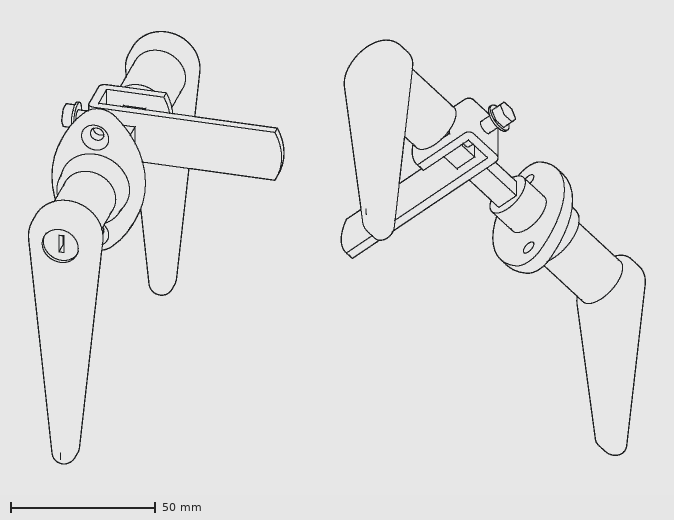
import cadquery as cq
import math


grip_thickness = 11.7
grip_hub_radius = 12.75
grip_tip_radius = 4.3
grip_bottom = 88.85
grip_outer_fillet = 5.2
grip_inner_fillet = 2.5
grip_tip_centre = grip_bottom - grip_tip_radius
neck_diameter = 19.1

front_grip_back = -39.1
rear_neck_start = 49.9
rear_grip_front = 75.17

lock_diameter = 13.0
lock_recess_depth = 1.5
key_slot_width = 1.8
key_slot_height = 6.6
key_slot_depth = 5.0

plate_half_width = 16.35
plate_half_height = 27.0
plate_thickness = 6.3
plate_fillet = 3.0
plate_hole_spacing = 38.0
plate_hole_diameter = 4.8
countersink_diameter = 9.8
countersink_angle = 90
collar_length = 7.5
collar_base_diameter = 24.8
collar_end_diameter = 23.8
collar_fillet = 1.2
sleeve_length = 11.2
sleeve_diameter = 16.2
spindle_width = 8.0

cam_front = 30.35
cam_back = 47.0
cam_thickness = 3.2
cam_height = 19.1
cam_left = -13.2
cam_short_end = 13.0
cam_long_end = 56.82
cam_bend_radius = 2.2
cam_end_radius = 20.0

screw_y = (cam_front + cam_back) / 2
screw_left = -23.65
screw_diameter = 5.0
screw_head_length = 3.8
screw_head_flats = 7.2
screw_head_edge_fillet = 0.8
screw_flange_diameter = 10.2
screw_flange_thickness = 0.85


def cylinder_y(diameter, start, end):
    """Round bar on the spindle axis between two Y places."""
    return cq.Workplane("XZ", origin=(0, start, 0)).circle(diameter / 2).extrude(start - end)


def square_bar_y(start, end):
    """Square spindle bar between two Y places."""
    return cq.Workplane("XZ", origin=(0, start, 0)).rect(spindle_width, spindle_width).extrude(start - end)


def make_grip_tip(inner_y, direction, sweep_angle):
    """Rounded end of half a lever: its side profile turned about the Y line through the tip centre."""
    outer_arc_centre = grip_tip_radius - grip_outer_fillet
    apex_angle = math.acos(-outer_arc_centre / grip_outer_fillet)
    outer_mid_x = outer_arc_centre + grip_outer_fillet * math.cos(apex_angle / 2)
    outer_base = grip_thickness - grip_outer_fillet
    outer_mid_y = outer_base + grip_outer_fillet * math.sin(apex_angle / 2)
    apex_y = outer_base + grip_outer_fillet * math.sin(apex_angle)
    inner_arc_centre = grip_tip_radius - grip_inner_fillet
    inner_mid_x = inner_arc_centre + grip_inner_fillet * math.sqrt(0.5)
    inner_mid_y = grip_inner_fillet * (1 - math.sqrt(0.5))
    tip = (
        cq.Workplane("XY")
        .lineTo(inner_arc_centre, 0)
        .threePointArc((inner_mid_x, inner_mid_y), (grip_tip_radius, grip_inner_fillet))
        .lineTo(grip_tip_radius, outer_base)
        .threePointArc((outer_mid_x, outer_mid_y), (0, apex_y))
        .close()
        .revolve(sweep_angle, (0, 0), (0, 1))
        .rotate((0, 0, 0), (0, 1, 0), 90 - sweep_angle)
    )
    if direction < 0:
        tip = tip.mirror("XZ")
    return tip.translate((0, inner_y, -grip_tip_centre))


def make_grip(inner_y, direction):
    """Tapered lever, from its inner face towards direction (+1 or -1) along Y."""
    taper = math.asin((grip_hub_radius - grip_tip_radius) / grip_tip_centre)
    hub_x = grip_hub_radius * math.cos(taper)
    hub_z = -grip_hub_radius * math.sin(taper)
    hub_mid_angle = (math.pi / 2 - taper) / 2
    hub_mid = (grip_hub_radius * math.cos(hub_mid_angle), grip_hub_radius * math.sin(hub_mid_angle))
    tip_x = grip_tip_radius * math.cos(taper)
    tip_z = -grip_tip_centre - grip_tip_radius * math.sin(taper)
    blank_left = -2 * grip_hub_radius
    blank_left_z = -grip_tip_centre - blank_left * math.tan(taper)
    blank = (
        cq.Workplane("XZ", origin=(0, inner_y, 0))
        .moveTo(blank_left, grip_hub_radius)
        .lineTo(0, grip_hub_radius)
        .threePointArc(hub_mid, (hub_x, hub_z))
        .lineTo(tip_x, tip_z)
        .lineTo(blank_left, blank_left_z)
        .close()
        .extrude(-direction * grip_thickness)
    )
    outer_face, inner_face = (">Y", "<Y") if direction > 0 else ("<Y", ">Y")
    side_edges = cq.selectors.BoxSelector(
        (-1.5 * grip_hub_radius, inner_y - 2 * grip_thickness, -grip_tip_centre * 2 / 3),
        (2 * grip_hub_radius, inner_y + 2 * grip_thickness, 2 * grip_hub_radius),
    )
    blank = blank.faces(outer_face).edges(side_edges).fillet(grip_outer_fillet)
    blank = blank.faces(inner_face).edges(side_edges).fillet(grip_inner_fillet)
    trim = (
        cq.Workplane("XY", origin=(0, inner_y, 0))
        .box(2 * grip_hub_radius, 4 * grip_thickness, 3 * grip_bottom, centered=(False, True, True))
    )
    half = blank.intersect(trim).union(make_grip_tip(inner_y, direction, 90 - math.degrees(taper)))
    return half.union(half.mirror("YZ"))


def make_escutcheon():
    """Pointed oval plate with a tapered collar in front and a sleeve behind."""
    end_centre = plate_hole_spacing / 2
    end_radius = plate_half_height - end_centre
    width_excess = plate_half_width - end_radius
    side_radius = (plate_half_width**2 + end_centre**2 - end_radius**2) / (2 * width_excess)
    side_centre = side_radius - plate_half_width
    centre_distance = math.hypot(side_centre, end_centre)
    join_x = end_radius * side_centre / centre_distance
    join_z = end_centre * (1 + end_radius / centre_distance)
    plate = (
        cq.Workplane("XZ")
        .moveTo(-join_x, join_z)
        .threePointArc((0, plate_half_height), (join_x, join_z))
        .threePointArc((plate_half_width, 0), (join_x, -join_z))
        .threePointArc((0, -plate_half_height), (-join_x, -join_z))
        .threePointArc((-plate_half_width, 0), (-join_x, join_z))
        .close()
        .extrude(plate_thickness)
        .faces("<Y").edges().fillet(plate_fillet)
    )
    plate = (
        plate.faces("<Y").workplane(origin=(0, -plate_thickness, 0))
        .pushPoints([(0, end_centre), (0, -end_centre)])
        .cskHole(plate_hole_diameter, countersink_diameter, countersink_angle)
    )
    collar_taper = math.degrees(math.atan((collar_base_diameter - collar_end_diameter) / 2 / collar_length))
    collar = (
        cq.Workplane("XZ", origin=(0, -plate_thickness, 0))
        .circle(collar_base_diameter / 2)
        .extrude(collar_length, taper=collar_taper)
        .faces("<Y").edges().fillet(collar_fillet)
    )
    return plate.union(collar).union(cylinder_y(sleeve_diameter, 0, sleeve_length))


def make_front_handle():
    """Front lever, neck, escutcheon and spindle in one piece, with the lock face in the lever."""
    front_face = front_grip_back - grip_thickness
    handle = make_grip(front_grip_back, -1)
    handle = handle.union(cylinder_y(neck_diameter, front_grip_back, -plate_thickness))
    handle = handle.union(make_escutcheon())
    handle = handle.union(square_bar_y(sleeve_length, rear_grip_front))
    lock_face = front_face + lock_recess_depth
    handle = handle.cut(cylinder_y(lock_diameter, front_face, lock_face))
    key_slot = (
        cq.Workplane("XZ", origin=(0, lock_face, 0))
        .rect(key_slot_width, key_slot_height)
        .extrude(-key_slot_depth)
    )
    return handle.cut(key_slot)


def make_rear_handle():
    """Rear lever whose neck has a square socket for the spindle."""
    neck = cylinder_y(neck_diameter, rear_neck_start, rear_grip_front)
    return make_grip(rear_grip_front, 1).union(neck).cut(square_bar_y(rear_neck_start, rear_grip_front))


def make_cam_leg(front, end):
    """Flat leg of the cam, with an arched end."""
    half_height = cam_height / 2
    arch = cam_end_radius - math.sqrt(cam_end_radius**2 - half_height**2)
    return (
        cq.Workplane("XZ", origin=(0, front, 0))
        .moveTo(cam_left, -half_height)
        .lineTo(end - arch, -half_height)
        .threePointArc((end, 0), (end - arch, half_height))
        .lineTo(cam_left, half_height)
        .close()
        .extrude(-cam_thickness)
    )


def make_cam():
    """U-shaped cam with square holes for the spindle and a hole for the screw."""
    web = (
        cq.Workplane("XY", origin=(cam_left, cam_front, 0))
        .box(cam_thickness, cam_back - cam_front, cam_height, centered=(False, False, True))
    )
    cam = web.union(make_cam_leg(cam_front, cam_long_end))
    cam = cam.union(make_cam_leg(cam_back - cam_thickness, cam_short_end))
    cam = cam.faces("<X").edges("|Z").fillet(cam_bend_radius)
    cam = cam.cut(square_bar_y(cam_front, cam_back))
    screw_hole = (
        cq.Workplane("YZ", origin=(cam_left, screw_y, 0))
        .circle(screw_diameter / 2)
        .extrude(cam_thickness)
    )
    return cam.cut(screw_hole)


def make_screw():
    """Flanged hexagon screw whose tip bears on the spindle."""
    head_corners = screw_head_flats / math.cos(math.radians(30))
    return (
        cq.Workplane("YZ", origin=(screw_left, screw_y, 0))
        .polygon(6, head_corners)
        .extrude(screw_head_length)
        .edges("|X").fillet(screw_head_edge_fillet)
        .faces(">X").workplane()
        .circle(screw_flange_diameter / 2)
        .extrude(screw_flange_thickness)
        .faces(">X").workplane()
        .circle(screw_diameter / 2)
        .extrude(-spindle_width / 2 - screw_left - screw_head_length - screw_flange_thickness)
    )


front_handle = make_front_handle()
rear_handle = make_rear_handle()
cam = make_cam()
screw = make_screw()

result = cq.Compound.makeCompound([front_handle.val(), rear_handle.val(), cam.val(), screw.val()])